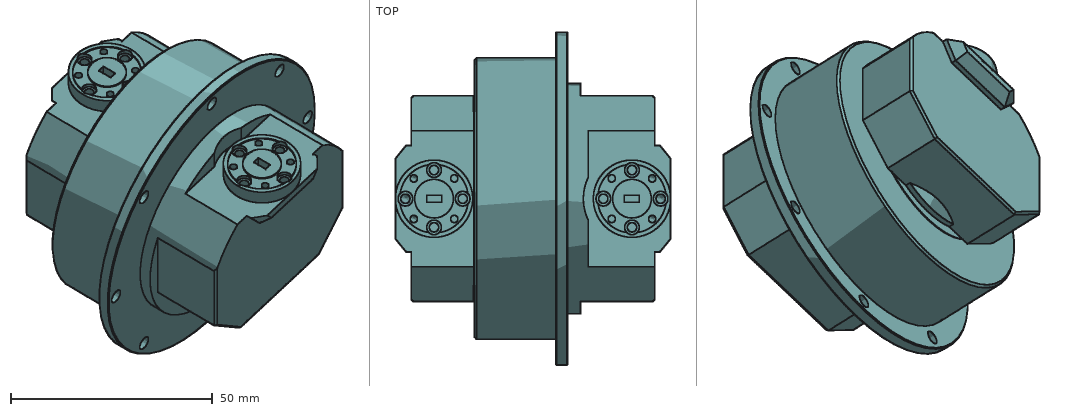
import cadquery as cq
import math

OVERLAP = 0.8

FLANGE_RADIUS = 41.3
FLANGE_LEFT = 5.6
FLANGE_THICKNESS = 3.05
FLANGE_RIGHT = FLANGE_LEFT + FLANGE_THICKNESS
FLANGE_CHAMFER = 0.25
MOUNT_HOLE_COUNT = 8
MOUNT_HOLE_DIAMETER = 3.5
MOUNT_HOLE_CIRCLE_RADIUS = 38.1

DRUM_RADIUS = 34.9
DRUM_LEFT = -14.5
DRUM_CHAMFER = 0.6
NECK_RADIUS = 18.7
NECK_STRAIGHT_LENGTH = 1.5
NECK_CHAMFER = 2.5
NECK_LEFT = DRUM_LEFT - NECK_STRAIGHT_LENGTH - NECK_CHAMFER

COLLAR_RADIUS = 21.55
COLLAR_THICKNESS = 0.2
COLLAR_LEFT = DRUM_LEFT - COLLAR_THICKNESS

BOSS_RADIUS = 28.6
BOSS_RIGHT = 11.8

BLOCK_END = 30.2
BLOCK_TOP = 23.0
BLOCK_BOTTOM = -16.7
BLOCK_HALF_WIDTH = 25.5
BLOCK_CORNER_WIDTH = 9.8
BLOCK_CORNER_HEIGHT = 9.4
BLOCK_CHAMFER = 0.6

LIP_END = 34.1
LIP_START = 24.8
LIP_TOP_HALF_WIDTH = 13.2
LIP_BOTTOM_HALF_WIDTH = 9.65
LIP_HEIGHT = 4.95
LIP_CHAMFER = 2.65

PORT_X = 24.5
PORT_RADIUS = 9.6
PORT_TOP = 27.0
PORT_CLEARANCE_RADIUS = 12.05
PORT_CLEARANCE_START = 13.7
GROOVE_OUTER_RADIUS = 8.5
GROOVE_INNER_RADIUS = 4.8
GROOVE_DEPTH = 0.3
GROOVE_FLOOR = PORT_TOP - GROOVE_DEPTH
PORT_HOLE_CIRCLE_RADIUS = 7.1
PORT_HOLE_DEPTH = 4.95
SCREW_RADIUS = 1.15
COUNTERBORE_RADIUS = 1.8
COUNTERBORE_DEPTH = 1.0
PIN_RADIUS = 0.9
PORT_HOLE_COUNT = 8
DRILL_POINT_ANGLE = 118.0
WAVEGUIDE_LENGTH = 3.7
WAVEGUIDE_WIDTH = 1.8
WAVEGUIDE_DEPTH = PORT_TOP - BLOCK_TOP


def disc(radius, left, right):
    """Cylinder on the X axis between two X stations."""
    return cq.Workplane("YZ").workplane(offset=left).circle(radius).extrude(right - left)


def upright(radius, bottom, top, x=PORT_X, y=0.0):
    """Vertical cylinder between two heights."""
    return cq.Workplane("XY", origin=(x, y, bottom)).circle(radius).extrude(top - bottom)


def mounting_flange():
    flange = disc(FLANGE_RADIUS, FLANGE_LEFT, FLANGE_RIGHT).edges().chamfer(FLANGE_CHAMFER)
    holes = (
        cq.Workplane("YZ").workplane(offset=FLANGE_LEFT)
        .polarArray(MOUNT_HOLE_CIRCLE_RADIUS, 0, 360, MOUNT_HOLE_COUNT)
        .circle(MOUNT_HOLE_DIAMETER / 2).extrude(FLANGE_THICKNESS)
    )
    return flange.cut(holes)


def drum():
    shell = disc(DRUM_RADIUS, DRUM_LEFT, FLANGE_LEFT + OVERLAP)
    shell = shell.faces("<X").edges().chamfer(DRUM_CHAMFER)
    neck = disc(NECK_RADIUS, NECK_LEFT, DRUM_LEFT + OVERLAP)
    neck = neck.faces("<X").edges().chamfer(NECK_CHAMFER)
    collar = disc(COLLAR_RADIUS, COLLAR_LEFT, DRUM_LEFT + OVERLAP)
    return shell.union(collar).union(neck)


def end_block(start, height):
    """Block reaching from X = start to BLOCK_END, with its top at the given height."""
    corner_y = BLOCK_HALF_WIDTH - BLOCK_CORNER_WIDTH
    corner_z = BLOCK_BOTTOM + BLOCK_CORNER_HEIGHT
    block = (
        cq.Workplane("YZ").workplane(offset=start)
        .moveTo(-BLOCK_HALF_WIDTH, height)
        .lineTo(-BLOCK_HALF_WIDTH, corner_z)
        .lineTo(-corner_y, BLOCK_BOTTOM)
        .lineTo(corner_y, BLOCK_BOTTOM)
        .lineTo(BLOCK_HALF_WIDTH, corner_z)
        .lineTo(BLOCK_HALF_WIDTH, height)
        .close().extrude(BLOCK_END - start)
    )
    block = block.faces(">X").edges("not >Z").chamfer(BLOCK_CHAMFER)
    return block.intersect(disc(BOSS_RADIUS, start, BLOCK_END))


def lip():
    bottom = BLOCK_TOP - LIP_HEIGHT
    body = (
        cq.Workplane("YZ").workplane(offset=LIP_START)
        .moveTo(-LIP_TOP_HALF_WIDTH, BLOCK_TOP)
        .lineTo(-LIP_BOTTOM_HALF_WIDTH, bottom)
        .lineTo(LIP_BOTTOM_HALF_WIDTH, bottom)
        .lineTo(LIP_TOP_HALF_WIDTH, BLOCK_TOP)
        .close().extrude(LIP_END - LIP_START)
    )
    return body.faces(">X").edges("not >Z").chamfer(LIP_CHAMFER)


def port_holes():
    """Groove, waveguide opening and the ring of screw and pin holes."""
    cuts = upright(GROOVE_OUTER_RADIUS, GROOVE_FLOOR, PORT_TOP)
    cuts = cuts.cut(upright(GROOVE_INNER_RADIUS, GROOVE_FLOOR, PORT_TOP))
    opening = cq.Workplane("XY", origin=(PORT_X, 0, PORT_TOP - WAVEGUIDE_DEPTH))
    cuts = cuts.union(opening.rect(WAVEGUIDE_LENGTH, WAVEGUIDE_WIDTH).extrude(WAVEGUIDE_DEPTH))
    hole_bottom = GROOVE_FLOOR - PORT_HOLE_DEPTH
    for step in range(PORT_HOLE_COUNT):
        angle = 2 * math.pi * step / PORT_HOLE_COUNT
        x = PORT_X + PORT_HOLE_CIRCLE_RADIUS * math.cos(angle)
        y = PORT_HOLE_CIRCLE_RADIUS * math.sin(angle)
        is_screw = step % 2 == 0
        radius = SCREW_RADIUS if is_screw else PIN_RADIUS
        cuts = cuts.union(upright(radius, hole_bottom, PORT_TOP, x, y))
        if is_screw:
            seat = GROOVE_FLOOR - COUNTERBORE_DEPTH
            cuts = cuts.union(upright(COUNTERBORE_RADIUS, seat, PORT_TOP, x, y))
        if x > PORT_X + radius:
            point = radius / math.tan(math.radians(DRILL_POINT_ANGLE / 2))
            tip_base = cq.Vector(x, y, hole_bottom)
            cone = cq.Solid.makeCone(radius, 0, point, tip_base, cq.Vector(0, 0, -1))
            cuts = cuts.union(cq.Workplane(cone))
    return cuts


def port_end(block):
    """Block with its lip and the port on top."""
    port = upright(PORT_RADIUS, BLOCK_TOP - OVERLAP, PORT_TOP)
    return block.union(lip()).union(port).cut(port_holes())


def left_end():
    """Mirror image of a block whose inner face rests on the collar."""
    return port_end(end_block(-COLLAR_LEFT, BLOCK_TOP)).mirror("YZ")


def right_end():
    """Tall block, milled flat around the port, on top of the low boss."""
    start = FLANGE_RIGHT - OVERLAP
    body = end_block(start, BOSS_RADIUS).union(disc(BOSS_RADIUS, start, BOSS_RIGHT))
    step_length = BLOCK_END - PORT_CLEARANCE_START
    milled = (
        cq.Workplane("XY", origin=(PORT_CLEARANCE_START + step_length / 2, 0, BLOCK_TOP))
        .rect(step_length, 2 * BLOCK_HALF_WIDTH).extrude(BOSS_RADIUS)
    )
    milled = milled.union(upright(PORT_CLEARANCE_RADIUS, BLOCK_TOP, 2 * BOSS_RADIUS))
    return port_end(body.cut(milled))


result = mounting_flange().union(drum()).union(left_end()).union(right_end())